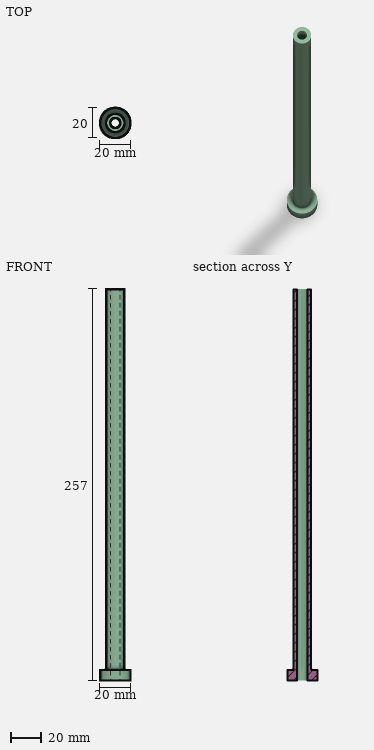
import cadquery as cq

total_length = 257.0
head_diameter = 20.0
head_height = 7.2
tube_diameter = 12.0
bore_diameter = 6.5
root_fillet = 0.5

head = cq.Workplane("XY").circle(head_diameter / 2).extrude(head_height)

tube = cq.Workplane("XY").circle(tube_diameter / 2).extrude(total_length)
body = head.union(tube)

shoulder_edges = body.faces(">Z[-2]").edges()
root_edge = shoulder_edges.edges(cq.selectors.RadiusNthSelector(0))
body = root_edge.fillet(root_fillet)

bore = cq.Workplane("XY").circle(bore_diameter / 2).extrude(total_length)
result = body.cut(bore)